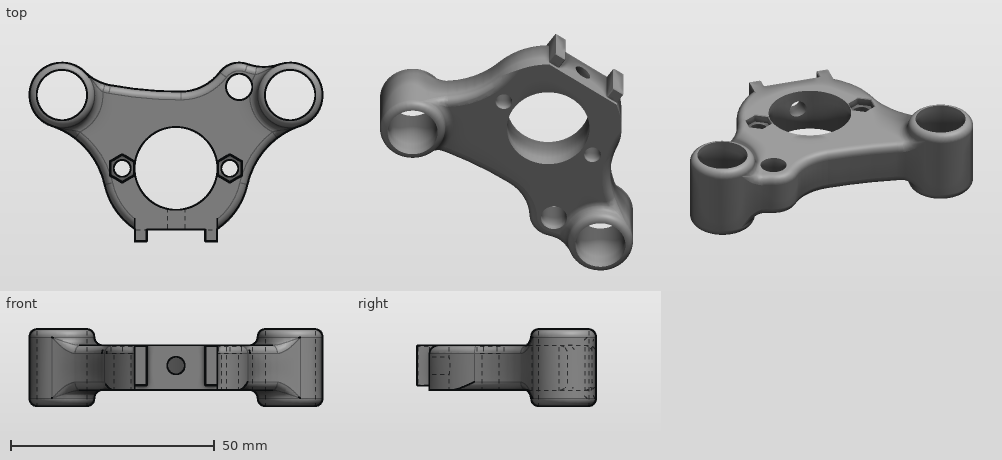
import cadquery as cq
import math

PLATE_THICKNESS = 11.0
EDGE_RADIUS = 2.0
MAIN_BORE_RADIUS = 10.15
HUB_RADIUS = 18.0

POST_X = 28.0
POST_Y = 18.0
POST_RADIUS = 8.0
POST_BORE_RADIUS = 6.15
POST_HEIGHT = 19.0

EAR_X = 15.5
EAR_Y = 20.0
EAR_RADIUS = 6.0
EAR_HOLE_RADIUS = 3.2

SIDE_RADIUS = 19.5
EAR_SWEEP_RADIUS = 12.0
EAR_POST_RADIUS = 12.0
LOW_POINT_X = 1.15
TOP_RADIUS = 95.0
TOP_POST_RADIUS = 12.0

NUT_X = 13.2
NUT_FLATS = 5.7
NUT_DEPTH = 2.0
NUT_HOLE_RADIUS = 2.05
NUT_CHAMFER = 0.2

FRONT_Y = -15.0
BLOCK_HALF_WIDTH = 10.1
BLOCK_DEPTH = 7.0
TAB_LENGTH = 3.0
TAB_WIDTH = 3.0
TAB_HEIGHT = 10.0
TAB_CHAMFER = 0.25
FRONT_HOLE_RADIUS = 2.15

HALF_WAY = math.sqrt(0.5)
SLAB_SIZE = 100.0
TOUCH = 0.01

PLATE_TOP = PLATE_THICKNESS / 2
POST_TOP = POST_HEIGHT / 2
FLARE_TOP = PLATE_TOP + EDGE_RADIUS
LEFT_POST = (-POST_X, POST_Y)
RIGHT_POST = (POST_X, POST_Y)
POSTS = [LEFT_POST, RIGHT_POST]
EAR = (EAR_X, EAR_Y)
HUB = (0.0, 0.0)
TAB_CENTRE_Z = PLATE_TOP - TAB_HEIGHT / 2


def toward(start, target, distance):
    """Point at a distance from start on the ray through target."""
    span = math.dist(start, target)
    return (
        start[0] + (target[0] - start[0]) * distance / span,
        start[1] + (target[1] - start[1]) * distance / span,
    )


def point_at_distances(first, first_distance, second, second_distance):
    """Point at given distances from two others, on the left of the line first-second."""
    span = math.dist(first, second)
    along = (first_distance**2 - second_distance**2 + span**2) / (2 * span)
    offset = math.sqrt(first_distance**2 - along**2)
    ux = (second[0] - first[0]) / span
    uy = (second[1] - first[1]) / span
    return (first[0] + ux * along - uy * offset, first[1] + uy * along + ux * offset)


def arc_middle(centre, start, end):
    """Middle point of the shorter arc from start to end."""
    chord_middle = ((start[0] + end[0]) / 2, (start[1] + end[1]) / 2)
    return toward(centre, chord_middle, math.dist(centre, start))


def mirror_x(point):
    """Mirror image of a point across the YZ plane."""
    return (-point[0], point[1])


RIGHT_SIDE_CENTRE = point_at_distances(
    RIGHT_POST, POST_RADIUS + SIDE_RADIUS, HUB, HUB_RADIUS + SIDE_RADIUS
)
SIDE_ON_HUB = toward(HUB, RIGHT_SIDE_CENTRE, HUB_RADIUS)
SIDE_ON_POST = toward(RIGHT_POST, RIGHT_SIDE_CENTRE, POST_RADIUS)
SIDE_RUNOUT_Y = -math.sqrt(HUB_RADIUS**2 - BLOCK_HALF_WIDTH**2)
SIDE_RUNOUT = (
    RIGHT_SIDE_CENTRE[0] - math.sqrt(SIDE_RADIUS**2 - (SIDE_RUNOUT_Y - RIGHT_SIDE_CENTRE[1]) ** 2),
    SIDE_RUNOUT_Y,
)

EAR_POST_CENTRE = point_at_distances(
    EAR, EAR_RADIUS + EAR_POST_RADIUS, RIGHT_POST, POST_RADIUS + EAR_POST_RADIUS
)
GAP_ON_POST = toward(RIGHT_POST, EAR_POST_CENTRE, POST_RADIUS)
GAP_ON_EAR = toward(EAR, EAR_POST_CENTRE, EAR_RADIUS)

SWEEP_DX = EAR_X - LOW_POINT_X
SWEEP_RISE = math.sqrt((EAR_RADIUS + EAR_SWEEP_RADIUS) ** 2 - SWEEP_DX**2)
SWEEP_CENTRE = (LOW_POINT_X, EAR_Y + SWEEP_RISE)
SWEEP_ON_EAR = toward(EAR, SWEEP_CENTRE, EAR_RADIUS)
LOW_POINT = (LOW_POINT_X, SWEEP_CENTRE[1] - EAR_SWEEP_RADIUS)
TOP_CENTRE = (LOW_POINT_X, LOW_POINT[1] + TOP_RADIUS)
TOP_POST_CENTRE = point_at_distances(
    TOP_CENTRE, TOP_RADIUS - TOP_POST_RADIUS, LEFT_POST, POST_RADIUS + TOP_POST_RADIUS
)
TOP_ON_POST = toward(LEFT_POST, TOP_POST_CENTRE, POST_RADIUS)
TOP_BLEND_START = toward(TOP_CENTRE, TOP_POST_CENTRE, TOP_RADIUS)


def plate_outline():
    """Sharp plate outline, counter-clockwise, with the side arcs running on past the hub."""
    sketch = cq.Workplane("XY").workplane(offset=-FLARE_TOP).moveTo(*SIDE_RUNOUT)

    def arc(centre, start, end):
        return sketch.threePointArc(arc_middle(centre, start, end), end)

    sketch = arc(RIGHT_SIDE_CENTRE, SIDE_RUNOUT, SIDE_ON_POST)
    sketch = sketch.threePointArc((POST_X + POST_RADIUS, POST_Y), GAP_ON_POST)
    sketch = arc(EAR_POST_CENTRE, GAP_ON_POST, GAP_ON_EAR)
    sketch = arc(EAR, GAP_ON_EAR, SWEEP_ON_EAR)
    sketch = arc(SWEEP_CENTRE, SWEEP_ON_EAR, LOW_POINT)
    sketch = arc(TOP_CENTRE, LOW_POINT, TOP_BLEND_START)
    sketch = arc(TOP_POST_CENTRE, TOP_BLEND_START, TOP_ON_POST)
    sketch = sketch.threePointArc((-POST_X - POST_RADIUS, POST_Y), mirror_x(SIDE_ON_POST))
    sketch = arc(mirror_x(RIGHT_SIDE_CENTRE), mirror_x(SIDE_ON_POST), mirror_x(SIDE_RUNOUT))
    return sketch.close()


def flare(post):
    """Ring with a concave rim that carries the plate faces up and down into a post."""
    outer = POST_RADIUS + EDGE_RADIUS
    diagonal = EDGE_RADIUS * HALF_WAY
    return (
        cq.Workplane("XZ")
        .moveTo(0, -FLARE_TOP)
        .lineTo(POST_RADIUS, -FLARE_TOP)
        .threePointArc((outer - diagonal, -FLARE_TOP + diagonal), (outer, -PLATE_TOP))
        .lineTo(outer, PLATE_TOP)
        .threePointArc((outer - diagonal, FLARE_TOP - diagonal), (POST_RADIUS, FLARE_TOP))
        .lineTo(0, FLARE_TOP)
        .close()
        .revolve(360, (0, 0, 0), (0, 1, 0))
        .translate((*post, 0))
    )


def flared_plate():
    """Plate with sharp edges that flares up and down into both posts."""
    slab = cq.Workplane("XY").box(SLAB_SIZE, SLAB_SIZE, PLATE_THICKNESS)
    for post in POSTS:
        slab = slab.union(flare(post))
    return plate_outline().extrude(2 * FLARE_TOP).intersect(slab)


def add_post_caps(body):
    """Rounded caps that carry the posts on above and below the flares."""
    inner = POST_RADIUS - EDGE_RADIUS
    diagonal = EDGE_RADIUS * HALF_WAY
    cap = (
        cq.Workplane("XZ")
        .moveTo(0, FLARE_TOP)
        .lineTo(POST_RADIUS, FLARE_TOP)
        .threePointArc((inner + diagonal, FLARE_TOP + diagonal), (inner, POST_TOP))
        .lineTo(0, POST_TOP)
        .close()
        .revolve(360, (0, 0, 0), (0, 1, 0))
    )
    for post in POSTS:
        upper = cap.translate((*post, 0))
        body = body.union(upper).union(upper.mirror("XY"))
    return body


def edges_at(body, points):
    """Edges of the body that pass through the given points."""
    return [
        edge
        for edge in body.edges().vals()
        if any(edge.distance(cq.Vertex.makeVertex(*point)) < TOUCH for point in points)
    ]


def round_rim(body, z):
    """Round the side and back rims of a plate face; each rim follows its tangent chain."""
    rims = [(*SIDE_ON_HUB, z), (*mirror_x(SIDE_ON_HUB), z), (*LOW_POINT, z), (*GAP_ON_EAR, z)]
    seeds = [edge for edge in edges_at(body, rims) if abs(edge.Center().z - z) < TOUCH]
    return body.newObject(seeds).fillet(EDGE_RADIUS)


def cylinder(centre, radius):
    """Upright cutter through the full height of the part."""
    return cq.Workplane("XY", origin=(*centre, -POST_TOP)).circle(radius).extrude(POST_HEIGHT)


def trim_to_hub(body):
    """Cut the front of the plate back to the round hub."""
    surplus = (
        cq.Workplane("XY")
        .box(SLAB_SIZE, SLAB_SIZE, PLATE_THICKNESS)
        .translate((0, SIDE_ON_HUB[1] - SLAB_SIZE / 2, 0))
        .cut(cylinder(HUB, HUB_RADIUS))
    )
    return body.cut(surplus)


def make_plate():
    """Plate with rounded rims; underneath, the rounding runs out into the hub wall."""
    body = round_rim(add_post_caps(flared_plate()), -PLATE_TOP)
    return round_rim(trim_to_hub(body), PLATE_TOP)


def add_front_block(body):
    """Flat-faced block at the front of the hub with a locating tab at each end."""
    block = cq.Workplane("XY").box(
        2 * BLOCK_HALF_WIDTH, BLOCK_DEPTH, PLATE_THICKNESS, centered=(True, False, True)
    )
    body = body.union(block.translate((0, FRONT_Y, 0)))
    tab = (
        cq.Workplane("XY")
        .box(TAB_WIDTH, TAB_LENGTH, TAB_HEIGHT, centered=(False, False, True))
        .edges("<Y or (>X and |Y)")
        .edges("not(<X)")
        .chamfer(TAB_CHAMFER)
        .translate((-BLOCK_HALF_WIDTH, FRONT_Y - TAB_LENGTH, TAB_CENTRE_Z))
    )
    return body.union(tab).union(tab.mirror("YZ"))


def cut_nut_pocket(body, x):
    """Screw hole with a hexagonal nut pocket whose mouth is chamfered."""
    flats_per_corner = math.cos(math.pi / 6)
    corner_diameter = NUT_FLATS / flats_per_corner
    mouth_diameter = (NUT_FLATS + 2 * NUT_CHAMFER) / flats_per_corner

    def hexagon(z, diameter):
        plane = cq.Workplane("XY", origin=(x, 0, z))
        return plane.transformed(rotate=(0, 0, 90)).polygon(6, diameter)

    pocket = hexagon(PLATE_TOP - NUT_DEPTH, corner_diameter).extrude(NUT_DEPTH)
    mouth = (
        hexagon(PLATE_TOP - NUT_CHAMFER, corner_diameter)
        .workplane(offset=NUT_CHAMFER)
        .polygon(6, mouth_diameter)
        .loft(ruled=True)
    )
    return body.cut(cylinder((x, 0), NUT_HOLE_RADIUS)).cut(pocket).cut(mouth)


def cut_holes(body):
    """Main bore, ear hole, post bores, nut pockets and the front screw hole."""
    body = body.cut(cylinder(HUB, MAIN_BORE_RADIUS)).cut(cylinder(EAR, EAR_HOLE_RADIUS))
    for post in POSTS:
        body = body.cut(cylinder(post, POST_BORE_RADIUS))
    for x in (-NUT_X, NUT_X):
        body = cut_nut_pocket(body, x)
    screw = cq.Workplane("XZ", origin=(0, 0, TAB_CENTRE_Z)).circle(FRONT_HOLE_RADIUS)
    return body.cut(screw.extrude(-FRONT_Y))


result = cut_holes(add_front_block(make_plate()))